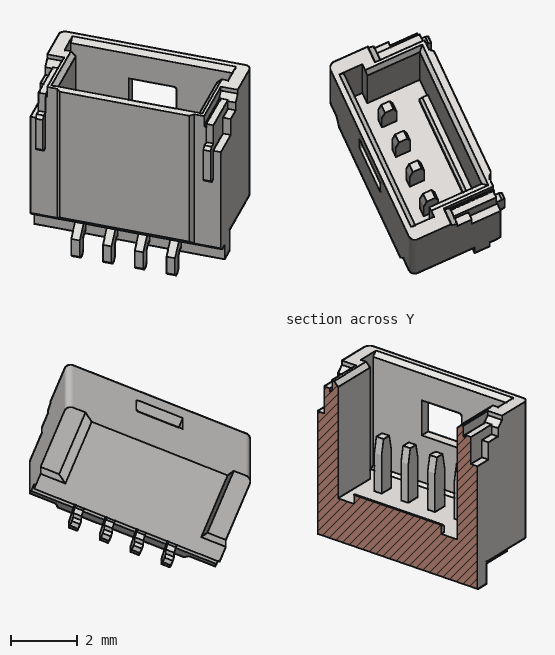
import cadquery as cq
import math


width = 6.0
height = 5.9
total_depth = 3.19

flange_depth = 2.94
plateau_depth = 3.06
base_depth = 2.585
body_height = 5.35
base_step = 0.52
corner_radius = 0.2
plateau_half_width = 2.16
edge_bevel = plateau_depth - flange_depth
undercut_bevel = 0.24
z_body = height - body_height
z_step = z_body + base_step

recess_height = 0.75
recess_depth = 2.08
recess_inset_top = 0.6
recess_draft = 15

floor_z = 2.0
rear_wall = 0.33
rear_half_width = 2.575
shoulder_depth = 0.94
front_half_width = 2.225
cavity_depth = 2.67
mouth_bevel = 0.15
floor_bevel = 0.1

rib_half_width = 1.64
rib_thickness = 0.285
rib_height = 0.3
rib_bevel = 0.1

window_width = 1.5
window_height = 1.18
window_top_drop = 1.05
window_radius = 0.1

pin_count = 4
pitch = 1.0
pin_width = 0.27
pin_rear = 1.03
pin_front = 1.51
pin_tip_drop = 2.1
pin_thickness = 0.37
tip_bevel = 0.1
pin_tip_taper = 0.5
tail_thickness = 0.35
tail_knee_inner = 0.14

notch_inner_x = 2.47
notch_start = 1.315
notch_lip_drop = 0.145
tab_inner_x = 2.53
tab_outer_x = 2.755
tab_rear = 1.51
tab_front = 2.91
tab_top_drop = 0.29
tab_wall_bevel = tab_inner_x - notch_inner_x
ledge_end = 1.99
upper_ledge_drop = 0.62
lower_ledge_drop = 1.2
foot_top_drop = 0.955
foot_height = 1.29


def box(x_min, x_max, rear, front, z_min, z_max):
    """Block between two X values, two distances from the rear face and two heights."""
    return cq.Workplane("XY").box(
        x_max - x_min, front - rear, z_max - z_min, centered=False
    ).translate((x_min, -front, z_min))


def side_prism(points, x_min, x_max):
    """Prism along X from (distance from the rear face, height) points."""
    outline = [(-depth, z) for depth, z in points]
    return cq.Workplane("YZ", origin=(x_min, 0, 0)).polyline(outline).close().extrude(x_max - x_min)


def front_prism(points, rear, front):
    """Prism along Y from (x, height) points."""
    return cq.Workplane("XZ", origin=(0, -rear, 0)).polyline(points).close().extrude(front - rear)


def both_sides(shape):
    return shape.union(shape.mirror("YZ"))


def make_shell():
    half = width / 2
    plan = [
        (-half, 0),
        (half, 0),
        (half, -flange_depth),
        (plateau_half_width, -flange_depth),
        (plateau_half_width - edge_bevel, -plateau_depth),
        (edge_bevel - plateau_half_width, -plateau_depth),
        (-plateau_half_width, -flange_depth),
        (-half, -flange_depth),
    ]
    shell = cq.Workplane("XY", origin=(0, 0, z_body)).polyline(plan).close().extrude(body_height)
    shell = shell.edges("|Z and >Y").fillet(corner_radius)
    bevel_start = plateau_depth - undercut_bevel
    front_relief = [
        (base_depth, z_body),
        (base_depth, z_step),
        (bevel_start, z_step),
        (plateau_depth, z_step + undercut_bevel),
        (plateau_depth, z_body),
    ]
    return shell.cut(side_prism(front_relief, -half, half))


def make_base_recesses():
    half = width / 2
    recess_top = z_body + recess_height
    inset_bottom = recess_inset_top + recess_height * math.tan(math.radians(recess_draft))
    section = [
        (-half, z_body),
        (-half, recess_top),
        (recess_inset_top - half, recess_top),
        (inset_bottom - half, z_body),
    ]
    return both_sides(front_prism(section, 0, recess_depth))


def make_cavity():
    rear_section = [
        (rear_wall + floor_bevel, floor_z),
        (rear_wall, floor_z + floor_bevel),
        (rear_wall, height - mouth_bevel),
        (rear_wall - mouth_bevel, height),
        (shoulder_depth, height),
        (shoulder_depth, floor_z),
    ]
    rear = side_prism(rear_section, -rear_half_width, rear_half_width)
    front = box(-front_half_width, front_half_width, shoulder_depth, cavity_depth, floor_z, height)

    flare_front = cavity_depth + mouth_bevel
    flare_half = front_half_width + mouth_bevel
    side_flare = front_prism(
        [
            (-front_half_width, height - mouth_bevel),
            (front_half_width, height - mouth_bevel),
            (flare_half, height),
            (-flare_half, height),
        ],
        shoulder_depth,
        flare_front,
    )
    front_flare = side_prism(
        [
            (shoulder_depth, height - mouth_bevel),
            (cavity_depth, height - mouth_bevel),
            (flare_front, height),
            (shoulder_depth, height),
        ],
        -flare_half,
        flare_half,
    )
    return rear.union(front).union(side_flare.intersect(front_flare))


def make_window():
    half = window_width / 2
    z_max = height - window_top_drop
    opening = box(-half, half, 0, rear_wall, z_max - window_height, z_max)
    return opening.edges("|Y and >X").fillet(window_radius)


def make_floor_rib():
    rib_rear = cavity_depth - rib_thickness
    section = [
        (cavity_depth, floor_z),
        (rib_rear, floor_z),
        (rib_rear, floor_z + rib_height - rib_bevel),
        (rib_rear + rib_bevel, floor_z + rib_height),
        (cavity_depth, floor_z + rib_height),
    ]
    return side_prism(section, -rib_half_width, rib_half_width)


def make_side_notches():
    half = width / 2
    slot_floor = height - notch_lip_drop - (tab_rear - notch_start)
    top_slot = [
        (notch_start, height),
        (notch_start, height - notch_lip_drop),
        (tab_rear, slot_floor),
        (plateau_depth, slot_floor),
        (plateau_depth, height),
    ]
    notch = side_prism(top_slot, -half, -notch_inner_x)

    taper = [
        (-half, slot_floor),
        (-notch_inner_x, slot_floor),
        (-tab_inner_x, slot_floor - tab_wall_bevel),
        (-half, slot_floor - tab_wall_bevel),
    ]
    notch = notch.union(front_prism(taper, tab_rear, plateau_depth))

    stepped = [
        (tab_rear, slot_floor),
        (tab_rear, height - upper_ledge_drop),
        (ledge_end, height - upper_ledge_drop),
        (ledge_end, height - lower_ledge_drop),
        (plateau_depth, height - lower_ledge_drop),
        (plateau_depth, slot_floor),
    ]
    return both_sides(notch.union(side_prism(stepped, -half, -tab_inner_x)))


def make_tabs():
    foot_top = height - foot_top_drop
    foot_bottom = foot_top - foot_height
    section = [
        (tab_rear, height - tab_top_drop),
        (tab_front, height - tab_top_drop),
        (tab_front, foot_top),
        (total_depth - tip_bevel, foot_top),
        (total_depth, foot_top - tip_bevel),
        (total_depth, foot_bottom + tip_bevel),
        (total_depth - tip_bevel, foot_bottom),
        (ledge_end, foot_bottom),
        (ledge_end, height - upper_ledge_drop),
        (tab_rear, height - upper_ledge_drop),
    ]
    return both_sides(side_prism(section, -tab_outer_x, -tab_inner_x))


def make_pin(x):
    tip_z = height - pin_tip_drop
    arm_bottom = z_step - pin_thickness
    tail_inner = total_depth - tail_thickness
    knee = tail_inner - tail_knee_inner
    bend_start = total_depth - pin_thickness
    section = [
        (pin_rear, arm_bottom),
        (pin_rear, tip_z - pin_tip_taper),
        (pin_rear + tip_bevel, tip_z),
        (pin_front - tip_bevel, tip_z),
        (pin_front, tip_z - pin_tip_taper),
        (pin_front, z_step),
        (bend_start, z_step),
        (total_depth, arm_bottom),
        (total_depth, tip_bevel),
        (total_depth - tip_bevel, 0),
        (tail_inner + tip_bevel, 0),
        (tail_inner, tip_bevel),
        (tail_inner, arm_bottom - tail_knee_inner),
        (knee, arm_bottom),
    ]
    return side_prism(section, x - pin_width / 2, x + pin_width / 2)


result = make_shell().cut(make_base_recesses()).cut(make_cavity()).cut(make_window())
result = result.cut(make_side_notches()).union(make_floor_rib()).union(make_tabs())
for index in range(pin_count):
    result = result.union(make_pin((index - (pin_count - 1) / 2) * pitch))